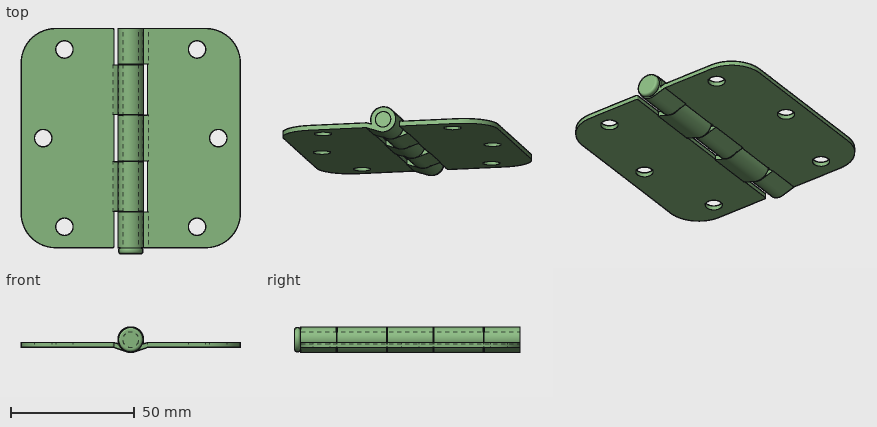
import cadquery as cq
import math

hinge_width = 88.5
leaf_height = 88.5
total_length = 91.0

plate_thickness = 2.0
plate_top_z = -1.1
plate_bottom_z = plate_top_z - plate_thickness
plate_inner_x = 6.7
corner_radius = 14.0
inner_corner_radius = 0.6

hole_diameter = 6.9
outer_hole_x = 26.75
outer_hole_y = 35.8
middle_hole_x = 35.3

knuckle_radius = 5.2
bore_radius = knuckle_radius - plate_thickness
bend_x = 7.1
joint_gap = 0.3
inner_joint_y = 9.4
outer_joint_y = 29.7

head_radius = 4.9
head_length = total_length - leaf_height
head_round = 1.0

half_height = leaf_height / 2
knuckle_edges = [-half_height, -outer_joint_y, -inner_joint_y, inner_joint_y, outer_joint_y, half_height]


def knuckle_spans():
    """Y start and end of each knuckle, with a clearance at every joint between knuckles."""
    spans = []
    for start, end in zip(knuckle_edges, knuckle_edges[1:]):
        if start > -half_height:
            start += joint_gap / 2
        if end < half_height:
            end -= joint_gap / 2
        spans.append((start, end))
    return spans


def extrude_along_y(profile, start, end):
    """Extrude a profile on the XZ plane between two Y positions."""
    return profile.extrude(start - end).translate((0, start, 0))


def make_plate(free_inner_corners):
    """Flat right-hand plate with three screw holes; inner corners without a knuckle are rounded."""
    plate_width = hinge_width / 2 - plate_inner_x
    plate = (
        cq.Workplane("XY", origin=(plate_inner_x, 0, plate_bottom_z))
        .rect(plate_width, leaf_height)
        .extrude(plate_thickness)
        .translate((plate_width / 2, 0, 0))
        .edges("|Z and >X")
        .fillet(corner_radius)
    )
    if free_inner_corners:
        plate = plate.edges("|Z and <X").fillet(inner_corner_radius)

    hole_places = [(outer_hole_x, outer_hole_y), (middle_hole_x, 0), (outer_hole_x, -outer_hole_y)]
    holes = (
        cq.Workplane("XY", origin=(0, 0, plate_bottom_z))
        .pushPoints(hole_places)
        .circle(hole_diameter / 2)
        .extrude(plate_thickness)
    )
    return plate.cut(holes)


def bend_profile():
    """Sloping strip from the plate to the knuckle, tangent to the underside of the knuckle."""
    bend_distance = math.hypot(bend_x, plate_bottom_z)
    tangent_angle = math.atan2(plate_bottom_z, bend_x) - math.acos(knuckle_radius / bend_distance)
    tangent_cos = math.cos(tangent_angle)
    tangent_sin = math.sin(tangent_angle)

    half_turn = (tangent_angle + math.pi / 2) / 2
    arc_middle = (bend_x - plate_thickness * math.sin(half_turn),
                  plate_bottom_z + plate_thickness * math.cos(half_turn))
    arc_end = (bend_x - plate_thickness * tangent_cos, plate_bottom_z - plate_thickness * tangent_sin)
    return (
        cq.Workplane("XZ")
        .moveTo(bend_x, plate_bottom_z)
        .lineTo(knuckle_radius * tangent_cos, knuckle_radius * tangent_sin)
        .lineTo(bore_radius * tangent_cos, bore_radius * tangent_sin)
        .lineTo(*arc_end)
        .threePointArc(arc_middle, (bend_x, plate_top_z))
        .close()
    )


def make_knuckle(start, end):
    """One right-hand knuckle with the bend that joins it to the plate."""
    barrel = extrude_along_y(cq.Workplane("XZ").circle(knuckle_radius), start, end)
    bend = extrude_along_y(bend_profile(), start, end)
    bore = extrude_along_y(cq.Workplane("XZ").circle(bore_radius), start, end)
    return barrel.union(bend).cut(bore)


def make_leaf(spans):
    """Right-hand leaf carrying knuckles at the given Y spans."""
    has_end_knuckles = spans[0][0] == -half_height
    leaf = make_plate(free_inner_corners=not has_end_knuckles)
    for start, end in spans:
        slot = (
            cq.Workplane("XY", origin=(0, (start + end) / 2, 0))
            .box(2 * bend_x, end - start, 2 * knuckle_radius)
        )
        leaf = leaf.cut(slot).union(make_knuckle(start, end))
    return leaf


def make_pin():
    """Straight pin with a rounded head below the lowest knuckle."""
    shank = extrude_along_y(cq.Workplane("XZ").circle(bore_radius), -half_height, half_height)
    head = extrude_along_y(cq.Workplane("XZ").circle(head_radius), -half_height - head_length, -half_height)
    head = head.edges().fillet(head_round)
    return shank.union(head)


spans = knuckle_spans()
right_leaf = make_leaf(spans[0::2])
left_leaf = make_leaf(spans[1::2]).mirror("YZ")
pin = make_pin()

result = cq.Compound.makeCompound([right_leaf.val(), left_leaf.val(), pin.val()])